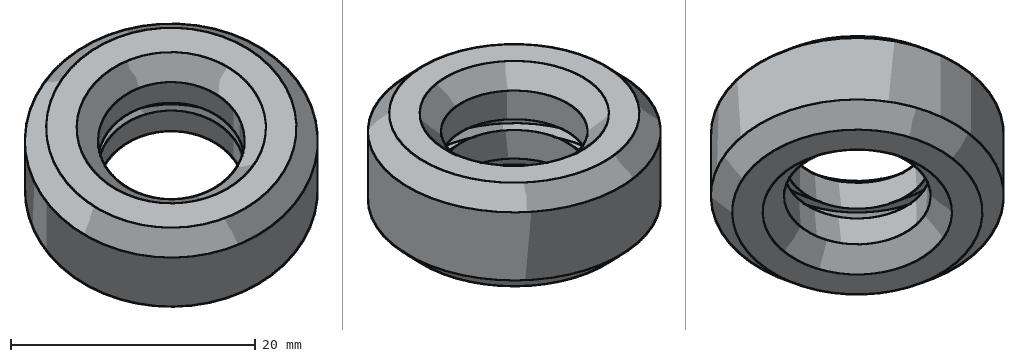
import cadquery as cq
import math

outer_radius = 12.0
bore_radius = 6.0
height = 10.2
chamfer = 1.75
wall = 2.0

half_height = height / 2

corner_setback = wall * math.tan(math.radians(22.5))

cavity_radius = outer_radius - wall
cavity_half_height = half_height - wall
cavity_side_half_height = half_height - chamfer - corner_setback
cavity_end_outer_radius = outer_radius - chamfer - corner_setback
cavity_end_inner_radius = bore_radius + chamfer + corner_setback

slot_half_width = cavity_half_height - (cavity_end_inner_radius - bore_radius)


def make_ring():
    """Plain ring with all four circular edges bevelled."""
    return (
        cq.Workplane("XY")
        .workplane(offset=-half_height)
        .circle(outer_radius)
        .circle(bore_radius)
        .extrude(height)
        .faces("<Z or >Z")
        .edges()
        .chamfer(chamfer)
    )


def make_cavity():
    """Annular cavity with a slot into the bore, closed along the axis and revolved."""
    upper_half = [
        (cavity_radius, cavity_side_half_height),
        (cavity_end_outer_radius, cavity_half_height),
        (cavity_end_inner_radius, cavity_half_height),
        (bore_radius, slot_half_width),
        (0, slot_half_width),
    ]
    lower_half = [(radius, -z) for radius, z in reversed(upper_half)]
    return (
        cq.Workplane("XZ")
        .polyline(upper_half + lower_half)
        .close()
        .revolve(360, (0, 0), (0, 1))
    )


result = make_ring().cut(make_cavity())